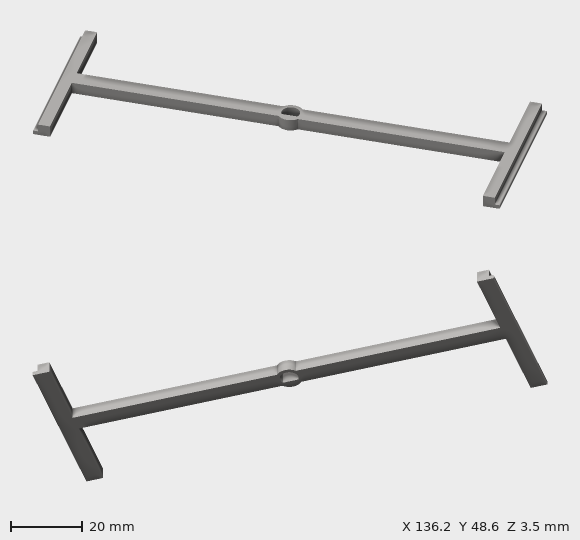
import cadquery as cq

overall_length = 136.2
rail_length = 48.6
thickness = 3.5

rail_foot_width = 5.0
lip_width = 1.5
lip_height = 1.2
lip_edge_radius = 0.3

bar_width = 5.0
bar_offset = 0.7

hub_diameter = 7.5
shaft_diameter = 5.3
flat_distance = 1.3

half_length = overall_length / 2
rail_inner_x = half_length - rail_foot_width
rail_outer_x = half_length - lip_width


def make_rail():
    """Rail at the +X end: a bar with a low lip with rounded edges along its outer foot."""
    profile = [
        (rail_inner_x, 0),
        (half_length, 0),
        (half_length, lip_height),
        (rail_outer_x, lip_height),
        (rail_outer_x, thickness),
        (rail_inner_x, thickness),
    ]
    rail = cq.Workplane("XZ").polyline(profile).close().extrude(rail_length / 2, both=True)
    return rail.faces(">X").edges("|Y").fillet(lip_edge_radius)


def make_crossbar():
    """Straight bar reaching from the inner face of one rail to the other."""
    return (
        cq.Workplane("XY")
        .center(0, bar_offset)
        .rect(2 * rail_inner_x, bar_width)
        .extrude(thickness)
    )


def make_hub():
    """Round hub at the middle of the crossbar."""
    return cq.Workplane("XY").center(0, bar_offset).circle(hub_diameter / 2).extrude(thickness)


def make_shaft_hole():
    """D-shaped through hole with its flat on the -Y side."""
    shaft = cq.Workplane("XY").center(0, bar_offset).circle(shaft_diameter / 2).extrude(thickness)
    beyond_flat = (
        cq.Workplane("XY")
        .center(0, bar_offset - flat_distance - shaft_diameter / 2)
        .rect(shaft_diameter, shaft_diameter)
        .extrude(thickness)
    )
    return shaft.cut(beyond_flat)


right_rail = make_rail()
left_rail = right_rail.mirror("YZ")

result = make_crossbar().union(right_rail).union(left_rail).union(make_hub()).cut(make_shaft_hole())